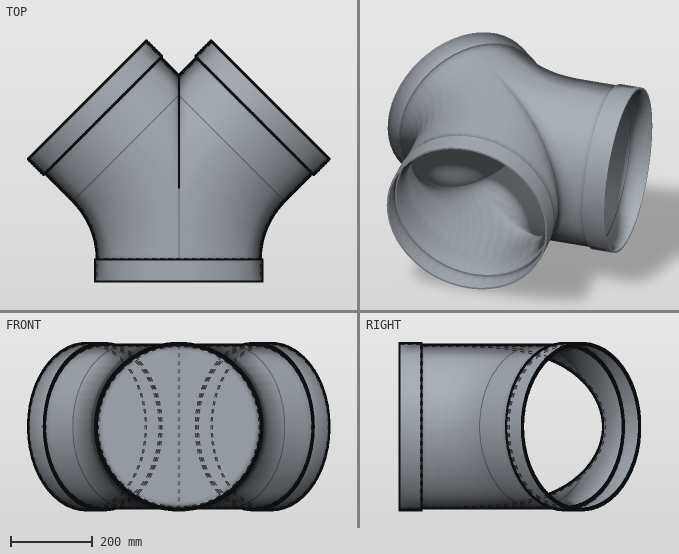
import cadquery as cq
import math

half_width = 368.0
bore_diameter = 391.0
body_diameter = 400.0
collar_diameter = 409.0
bend_radius = 400.0
bend_angle = 45.0
collar_length = 54.5
lip = 2.0

socket_diameter = body_diameter
socket_depth = collar_length - lip
wall = (body_diameter - bore_diameter) / 2
clip_size = 4 * half_width

sine = math.sin(math.radians(bend_angle))
cosine = math.cos(math.radians(bend_angle))
bend_end_x = -bend_radius * (1 - cosine)
bend_end_y = collar_length + bend_radius * sine
branch_length = (half_width + bend_end_x - cosine * collar_diameter / 2) / sine
rim_x = bend_end_x - branch_length * sine
rim_y = bend_end_y + branch_length * cosine

outward = cq.Vector(-sine, cosine, 0)
bend_end = cq.Vector(bend_end_x, bend_end_y, 0)
rim = cq.Vector(rim_x, rim_y, 0)


def cylinder(diameter, length, start, direction):
    return cq.Workplane(obj=cq.Solid.makeCylinder(diameter / 2, length, start, direction))


def left_branch(diameter):
    """Solid bent branch with a straight end, before its collar."""
    bend = (
        cq.Workplane("XZ", origin=(0, collar_length, 0))
        .circle(diameter / 2)
        .revolve(bend_angle, (-bend_radius, -7, 0), (-bend_radius, 7, 0))
    )
    straight = cylinder(diameter, branch_length - socket_depth, bend_end, outward)
    return bend.union(straight)


def symmetric_branches(diameter):
    """Two mirrored branches that meet on the plane X = 0."""
    left_space = cq.Workplane("XY").box(clip_size, clip_size, clip_size).translate((-clip_size / 2, 0, 0))
    left = left_branch(diameter).intersect(left_space)
    return left.union(left.mirror("YZ"))


def collar(rim_centre, inward):
    """Sleeve with a narrow shoulder at the inner end of its socket."""
    sleeve = cylinder(collar_diameter, collar_length, rim_centre, inward)
    socket = cylinder(socket_diameter, socket_depth, rim_centre, inward)
    bore = cylinder(bore_diameter, collar_length, rim_centre, inward)
    return sleeve.cut(socket).cut(bore)


body = symmetric_branches(body_diameter).cut(symmetric_branches(bore_diameter))

inlet_centre = cq.Vector(0, 0, 0)
inlet_direction = cq.Vector(0, 1, 0)
branch_collar = collar(rim, outward * -1)
result = body.union(collar(inlet_centre, inlet_direction))
result = result.union(branch_collar).union(branch_collar.mirror("YZ"))

cap = cylinder(body_diameter, wall, cq.Vector(0, socket_depth, 0), inlet_direction)
result = result.union(cap)